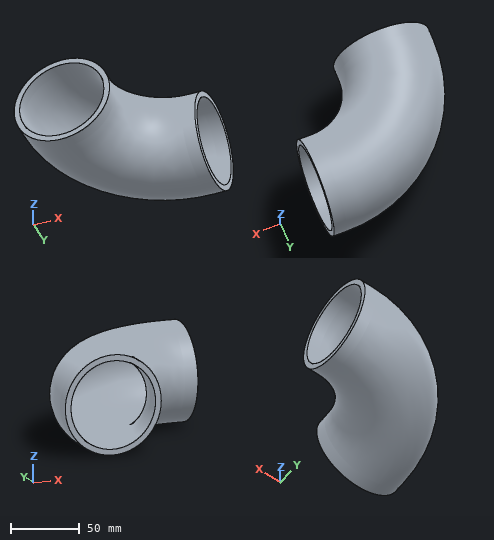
import cadquery as cq

overall_length = 122.5
outer_diameter = 75.0
inner_diameter = 66.0
bend_angle = 90

bend_radius = outer_diameter
collar_length = overall_length - bend_radius - outer_diameter / 2


def elbow(diameter):
    """Solid elbow centred on Z = 0, with the bend axis along Z through the origin."""
    front_collar = (
        cq.Workplane("XZ")
        .center(-bend_radius, 0)
        .circle(diameter / 2)
        .extrude(collar_length)
    )
    bend = (
        cq.Workplane("XZ")
        .center(-bend_radius, 0)
        .circle(diameter / 2)
        .revolve(bend_angle, (bend_radius, 1.2, 0), (bend_radius, 0, 0))
    )
    side_collar = (
        cq.Workplane("YZ")
        .center(bend_radius, 0)
        .circle(diameter / 2)
        .extrude(collar_length)
    )
    return front_collar.union(bend).union(side_collar)


result = elbow(outer_diameter).cut(elbow(inner_diameter))